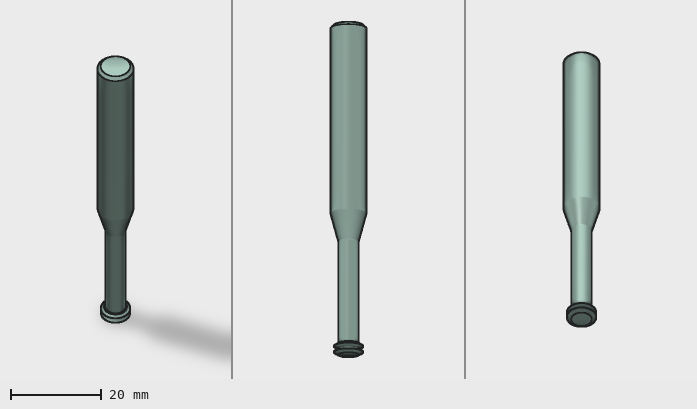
import cadquery as cq
import math

TOTAL_LENGTH = 75.0

SHANK_DIAMETER = 8.0
SHANK_BOTTOM_Z = 32.2
SHANK_END_DIAMETER = 6.51
SHANK_CHAMFER_ANGLE = 45.0

NECK_DIAMETER = 4.53
CONE_HALF_ANGLE = 15.0
CONE_FILLET_RADIUS = 1.0

TOOTH_PITCH = 1.323
CREST_DIAMETER = 6.51
CREST_WIDTH = 0.09
FLANK_ANGLE = 30.0

COLLAR_DIAMETER = 5.07
COLLAR_HEIGHT = 0.12

shank_radius = SHANK_DIAMETER / 2
shank_end_radius = SHANK_END_DIAMETER / 2
neck_radius = NECK_DIAMETER / 2
crest_radius = CREST_DIAMETER / 2
collar_radius = COLLAR_DIAMETER / 2

flank = math.radians(FLANK_ANGLE)
half_crest = CREST_WIDTH / 2
lower_crest_z = (crest_radius - neck_radius) * math.tan(flank) + half_crest
upper_crest_z = lower_crest_z + TOOTH_PITCH
groove_z = (lower_crest_z + upper_crest_z) / 2

sharp_root_radius = crest_radius - (TOOTH_PITCH / 2 - half_crest) / math.tan(flank)
groove_fillet_radius = (neck_radius - sharp_root_radius) / (1 / math.sin(flank) - 1)
groove_arc_end_radius = neck_radius + groove_fillet_radius * (1 - math.sin(flank))
groove_arc_half_height = groove_fillet_radius * math.cos(flank)

collar_bottom_z = upper_crest_z + half_crest + (crest_radius - collar_radius) * math.tan(flank)
collar_top_z = collar_bottom_z + COLLAR_HEIGHT

cone = math.radians(CONE_HALF_ANGLE)
cone_corner_z = SHANK_BOTTOM_Z - (shank_radius - neck_radius) / math.tan(cone)
fillet_start_z = cone_corner_z - CONE_FILLET_RADIUS * math.tan(cone / 2)

chamfer_height = (shank_radius - shank_end_radius) / math.tan(math.radians(SHANK_CHAMFER_ANGLE))


def add_crest(profile, crest_z):
    """Draw the flank up to a crest and the narrow land along it."""
    return (
        profile
        .lineTo(crest_radius, crest_z - half_crest)
        .lineTo(crest_radius, crest_z + half_crest)
    )


def add_groove(profile):
    """Draw the flank down into the groove and its rounded floor."""
    return (
        profile
        .lineTo(groove_arc_end_radius, groove_z - groove_arc_half_height)
        .threePointArc(
            (neck_radius, groove_z),
            (groove_arc_end_radius, groove_z + groove_arc_half_height),
        )
    )


def add_collar(profile):
    """Draw the upper flank, the short collar and its step in to the neck."""
    return (
        profile
        .lineTo(collar_radius, collar_bottom_z)
        .lineTo(collar_radius, collar_top_z)
        .lineTo(neck_radius, collar_top_z)
    )


def cone_fillet_point(turn):
    """Point on the cone fillet after turning by an angle away from the neck."""
    return (
        neck_radius + CONE_FILLET_RADIUS * (1 - math.cos(turn)),
        fillet_start_z + CONE_FILLET_RADIUS * math.sin(turn),
    )


def add_neck_and_shank(profile):
    """Draw the neck, the filleted cone and the chamfered shank."""
    return (
        profile
        .lineTo(neck_radius, fillet_start_z)
        .threePointArc(cone_fillet_point(cone / 2), cone_fillet_point(cone))
        .lineTo(shank_radius, SHANK_BOTTOM_Z)
        .lineTo(shank_radius, TOTAL_LENGTH - chamfer_height)
        .lineTo(shank_end_radius, TOTAL_LENGTH)
    )


section = cq.Workplane("XZ").moveTo(0, 0).lineTo(neck_radius, 0)
section = add_crest(section, lower_crest_z)
section = add_groove(section)
section = add_crest(section, upper_crest_z)
section = add_collar(section)
section = add_neck_and_shank(section)
section = section.lineTo(0, TOTAL_LENGTH).close()

result = section.revolve(360, (0, 0), (0, 1))